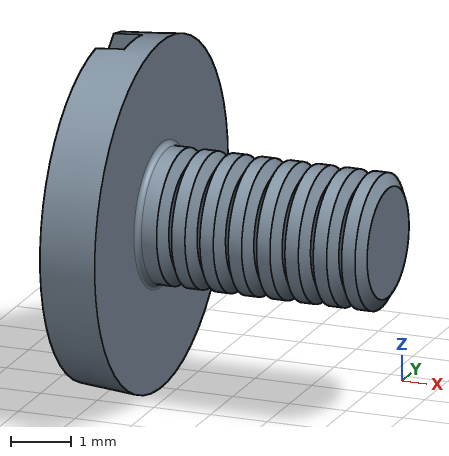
import cadquery as cq
import math

head_radius = 3.0
head_height = 1.5
dome_height = 0.5
wall_height = head_height - dome_height
wall_draft = 5.0
dome_rim_radius = head_radius - wall_height * math.tan(math.radians(wall_draft))

slot_width = 0.805
slot_depth = 1.0

crest_radius = 1.15
thread_depth = 0.21
root_radius = crest_radius - thread_depth
ridge_count = 8
shank_length = 4.0
pitch = shank_length / ridge_count
flank_length = 0.13
neck_fillet = 0.095


def revolve_about_x(profile):
    """Turn a closed half profile (axial, radial) into a solid about the X axis."""
    return profile.close().revolve(360, (0, 0, 0), (1, 0, 0))


def make_head():
    """Domed head with a slightly drafted side wall; the dome apex is at X = 0."""
    sphere_radius = (dome_rim_radius**2 + dome_height**2) / (2 * dome_height)
    mid_radius = dome_rim_radius / 2
    mid_sag = sphere_radius - math.sqrt(sphere_radius**2 - mid_radius**2)
    return revolve_about_x(
        cq.Workplane("XY")
        .threePointArc((mid_sag, mid_radius), (dome_height, dome_rim_radius))
        .lineTo(head_height, head_radius)
        .lineTo(head_height, 0)
    )


def make_shank():
    """Shank with a concave fillet under the head and chamfered thread ridges."""
    arc_offset = neck_fillet * (1 - math.sqrt(0.5))
    profile = (
        cq.Workplane("XY")
        .moveTo(head_height, 0)
        .lineTo(head_height, crest_radius + neck_fillet)
        .threePointArc(
            (head_height + arc_offset, crest_radius + arc_offset),
            (head_height + neck_fillet, crest_radius),
        )
    )
    for ridge in range(ridge_count):
        ridge_start = head_height + ridge * pitch
        ridge_end = ridge_start + pitch
        if ridge > 0:
            profile = profile.lineTo(ridge_start + flank_length, crest_radius)
        profile = profile.lineTo(ridge_end - flank_length, crest_radius)
        profile = profile.lineTo(ridge_end, root_radius)
    return revolve_about_x(profile.lineTo(head_height + shank_length, 0))


def make_slot():
    """Straight slot through the dome, running along Z."""
    return cq.Workplane("XY").box(
        slot_depth, slot_width, 2 * head_radius, centered=(False, True, True)
    )


result = make_head().union(make_shank()).cut(make_slot())